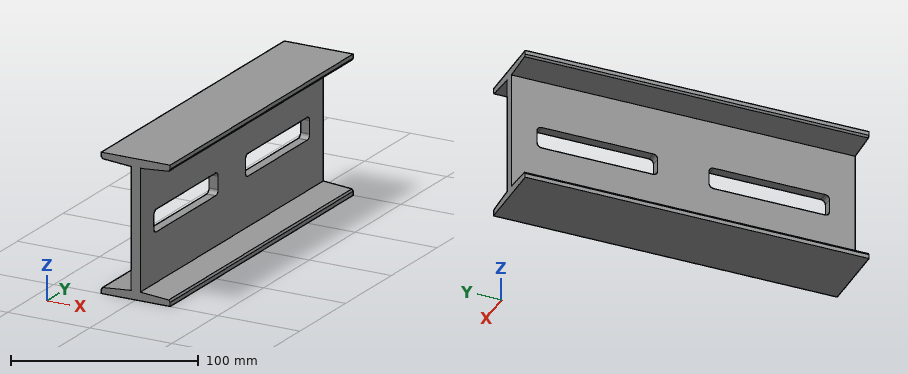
import cadquery as cq

length = 200.0
flange_width = 42.0
height = 80.0

web_thickness = 5.5
flange_tip_thickness = 3.5
flange_root_thickness = 5.0
tip_chamfer_width = 0.8
tip_chamfer_height = 1.2

slot_length = 70.0
slot_height = 12.8
slot_corner_radius = 2.5
slot_spacing = length / 2


def make_flange():
    """Top flange with a flat outer face and a tapered inner face."""
    half_width = flange_width / 2
    half_web = web_thickness / 2
    top = height / 2
    tip_z = top - flange_tip_thickness
    root_z = top - flange_root_thickness
    outline = [
        (-half_width, top),
        (half_width, top),
        (half_width, tip_z + tip_chamfer_height),
        (half_width - tip_chamfer_width, tip_z),
        (half_web, root_z),
        (-half_web, root_z),
        (-half_width + tip_chamfer_width, tip_z),
        (-half_width, tip_z + tip_chamfer_height),
    ]
    return cq.Workplane("XZ").polyline(outline).close().extrude(length / 2, both=True)


def make_slots():
    """Slot cutters spaced evenly along the web."""
    return (
        cq.Workplane("YZ")
        .rarray(slot_spacing, 2, 2, 1)
        .rect(slot_length, slot_height)
        .extrude(web_thickness, both=True)
        .edges("|X")
        .fillet(slot_corner_radius)
    )


top_flange = make_flange()
bottom_flange = top_flange.mirror("XY")
web_height = height - 2 * flange_root_thickness
web = cq.Workplane("XY").box(web_thickness, length, web_height)

result = web.union(top_flange).union(bottom_flange).cut(make_slots())